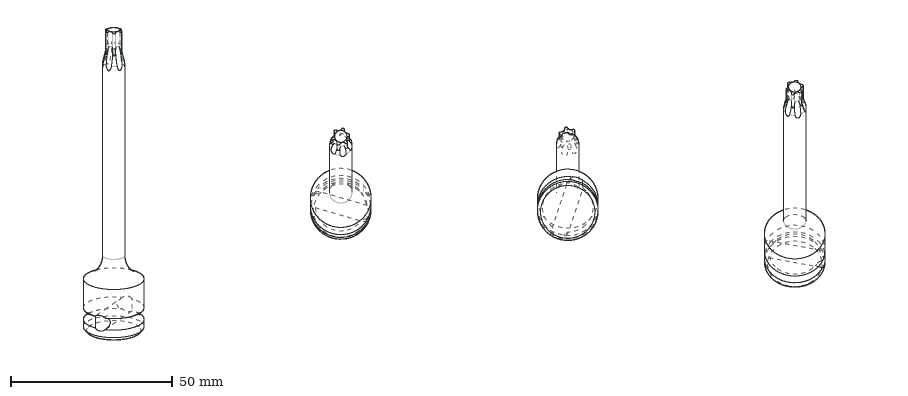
import cadquery as cq
import math

total_length = 100.0
bevel_height = 1.2
groove_bottom_z = 3.7
groove_top_z = 7.5
body_top_z = 17.2
taper_bottom_z = 89.1
star_bottom_z = 95.0

body_radius = 9.45
bevel_width = 1.0
groove_floor_radius = 7.85
cross_hole_diameter = 5.2
cross_hole_z = (groove_bottom_z + groove_top_z) / 2

shank_radius = 3.5
taper_top_radius = 2.2
flare_radius = 8.0

lobe_count = 6
star_outer_radius = 2.8
star_floor_radius = 1.98
lobe_arc_radius = 0.451
flute_end_z = 87.5
runout_sweep_angle = 45
tip_bevel_inner_radius = 1.9
tip_bevel_height = 0.4

lobe_center_radius = star_outer_radius - lobe_arc_radius
half_pitch = math.pi / lobe_count
flute_arc_radius = (
    star_floor_radius**2
    + lobe_center_radius**2
    - 2 * star_floor_radius * lobe_center_radius * math.cos(half_pitch)
    - lobe_arc_radius**2
) / (2 * (lobe_arc_radius - star_floor_radius + lobe_center_radius * math.cos(half_pitch)))
flute_center_radius = star_floor_radius + flute_arc_radius


def tangent_arc_radius(rise, run):
    """Radius of an arc that starts vertical and moves `rise` sideways over `run`."""
    return (rise**2 + run**2) / (2 * rise)


def arc_middle(start_radius, start_z, arc_radius, run):
    """Middle of an arc that leaves (start_radius, start_z) vertically, going down and outward."""
    half_angle = math.asin(run / arc_radius) / 2
    return (
        start_radius + arc_radius * (1 - math.cos(half_angle)),
        start_z - arc_radius * math.sin(half_angle),
    )


def make_blank():
    """Turned body, groove, flare, shank and taper, with a solid cone inside the foot of the star."""
    flare_drop = math.sqrt(flare_radius**2 - (flare_radius - body_radius + shank_radius) ** 2)
    flare_top_z = body_top_z + flare_drop
    flare_middle = arc_middle(shank_radius, flare_top_z, flare_radius, flare_drop)

    profile = (
        cq.Workplane("XZ")
        .lineTo(body_radius - bevel_width, 0)
        .lineTo(body_radius, bevel_height)
        .lineTo(body_radius, groove_bottom_z)
        .threePointArc((groove_floor_radius, cross_hole_z), (body_radius, groove_top_z))
        .lineTo(body_radius, body_top_z)
        .threePointArc(flare_middle, (shank_radius, flare_top_z))
        .lineTo(shank_radius, taper_bottom_z)
        .lineTo(taper_top_radius, star_bottom_z)
        .lineTo(0, star_bottom_z)
        .close()
    )
    return profile.revolve(360, (0, 0, 0), (0, 1, 0))


def make_flute_runout():
    """Cutter that continues the +X-side flute below the star and curves it out of the shank."""
    floor_arc_radius = tangent_arc_radius(
        shank_radius - star_floor_radius, star_bottom_z - flute_end_z
    )
    pivot_radius = star_floor_radius + floor_arc_radius
    pivot_offset = pivot_radius - flute_center_radius
    return (
        cq.Workplane("XY", origin=(flute_center_radius, 0, star_bottom_z))
        .circle(flute_arc_radius)
        .revolve(
            runout_sweep_angle,
            (pivot_offset, 0, 0),
            (pivot_offset, -1, 0),
        )
    )


def polar_point(radius, angle):
    return (radius * math.cos(angle), radius * math.sin(angle))


def make_star():
    """Straight six-lobed tip, bevelled at the top, whose lobes sink into the taper below."""
    flute_x, flute_y = polar_point(flute_center_radius, half_pitch)
    share = lobe_arc_radius / (lobe_arc_radius + flute_arc_radius)
    tangent_x = lobe_center_radius + share * (flute_x - lobe_center_radius)
    tangent_y = share * flute_y
    tangent_radius = math.hypot(tangent_x, tangent_y)
    tangent_angle = math.atan2(tangent_y, tangent_x)

    outline = cq.Workplane("XY", origin=(0, 0, taper_bottom_z))
    outline = outline.moveTo(*polar_point(tangent_radius, -tangent_angle))
    for index in range(lobe_count):
        lobe_angle = 2 * half_pitch * index
        next_lobe_angle = lobe_angle + 2 * half_pitch
        outline = outline.threePointArc(
            polar_point(star_outer_radius, lobe_angle),
            polar_point(tangent_radius, lobe_angle + tangent_angle),
        ).threePointArc(
            polar_point(star_floor_radius, lobe_angle + half_pitch),
            polar_point(tangent_radius, next_lobe_angle - tangent_angle),
        )
    star = outline.close().extrude(total_length - taper_bottom_z)

    bevel_envelope = (
        cq.Workplane("XZ")
        .moveTo(0, taper_bottom_z)
        .lineTo(star_outer_radius, taper_bottom_z)
        .lineTo(star_outer_radius, total_length - tip_bevel_height)
        .lineTo(tip_bevel_inner_radius, total_length)
        .lineTo(0, total_length)
        .close()
        .revolve(360, (0, 0, 0), (0, 1, 0))
    )
    return star.intersect(bevel_envelope)


def make_cross_hole():
    """Retaining-pin hole through the groove, along Y."""
    return (
        cq.Workplane("XZ", origin=(0, 0, cross_hole_z))
        .circle(cross_hole_diameter / 2)
        .extrude(body_radius, both=True)
    )


tool = make_blank().cut(make_cross_hole()).union(make_star())
flute_runout = make_flute_runout()
for flute in range(lobe_count):
    flute_angle = math.degrees(half_pitch * (2 * flute + 1))
    tool = tool.cut(flute_runout.rotate((0, 0, 0), (0, 0, 1), flute_angle))

result = tool